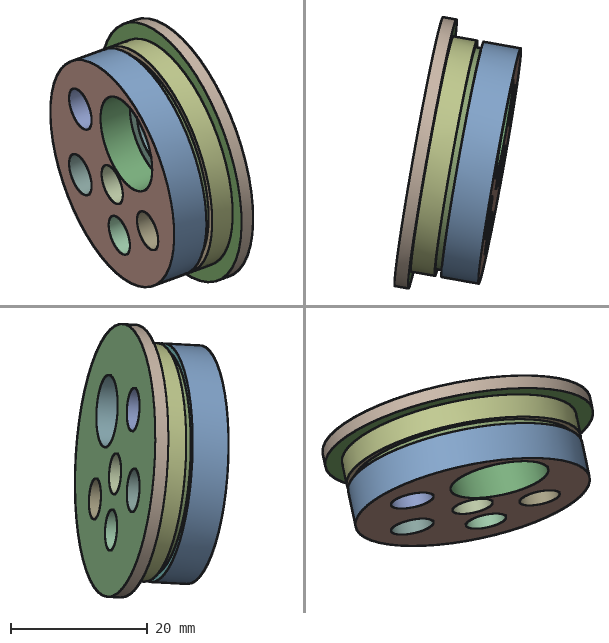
import cadquery as cq

total_length = 12.0
flange_diameter = 40.0
flange_thickness = 2.0
body_diameter = 35.0

groove_diameter = 33.0
groove_width = 1.0
groove_start = 5.5

port_center = (4.0, 8.0)
port_diameter = 10.6
counterbore_diameter = 14.6
counterbore_depth = 5.0

wide_hole_diameter = 6.35
wide_hole_centers = [(-9.0, 6.0), (-9.0, -6.0)]
small_hole_diameter = 6.0
small_hole_centers = [(0.0, -2.0), (10.0, -4.0), (2.0, -10.0)]


def cylinder(diameter, start, length, center=(0.0, 0.0)):
    """Cylinder along +Y from Y = start, centered at (X, Z)."""
    x, z = center
    base = cq.Vector(x, start, z)
    return cq.Workplane(cq.Solid.makeCylinder(diameter / 2, length, base, cq.Vector(0, 1, 0)))


def make_plug():
    """Cylindrical body with a flange at the back and a ring groove."""
    body = cylinder(body_diameter, 0.0, total_length)
    flange = cylinder(flange_diameter, total_length - flange_thickness, flange_thickness)
    groove_ring = cylinder(body_diameter, groove_start, groove_width).cut(
        cylinder(groove_diameter, groove_start, groove_width)
    )
    return body.union(flange).cut(groove_ring)


def cut_stepped_port(plug):
    """Through hole with a wide counterbore at the open face."""
    bore = cylinder(port_diameter, 0.0, total_length, port_center)
    counterbore = cylinder(counterbore_diameter, 0.0, counterbore_depth, port_center)
    return plug.cut(bore).cut(counterbore)


def cut_through_holes(plug, diameter, centers):
    """Plain holes of one diameter through the full length."""
    for center in centers:
        plug = plug.cut(cylinder(diameter, 0.0, total_length, center))
    return plug


result = make_plug()
result = cut_stepped_port(result)
result = cut_through_holes(result, wide_hole_diameter, wide_hole_centers)
result = cut_through_holes(result, small_hole_diameter, small_hole_centers)